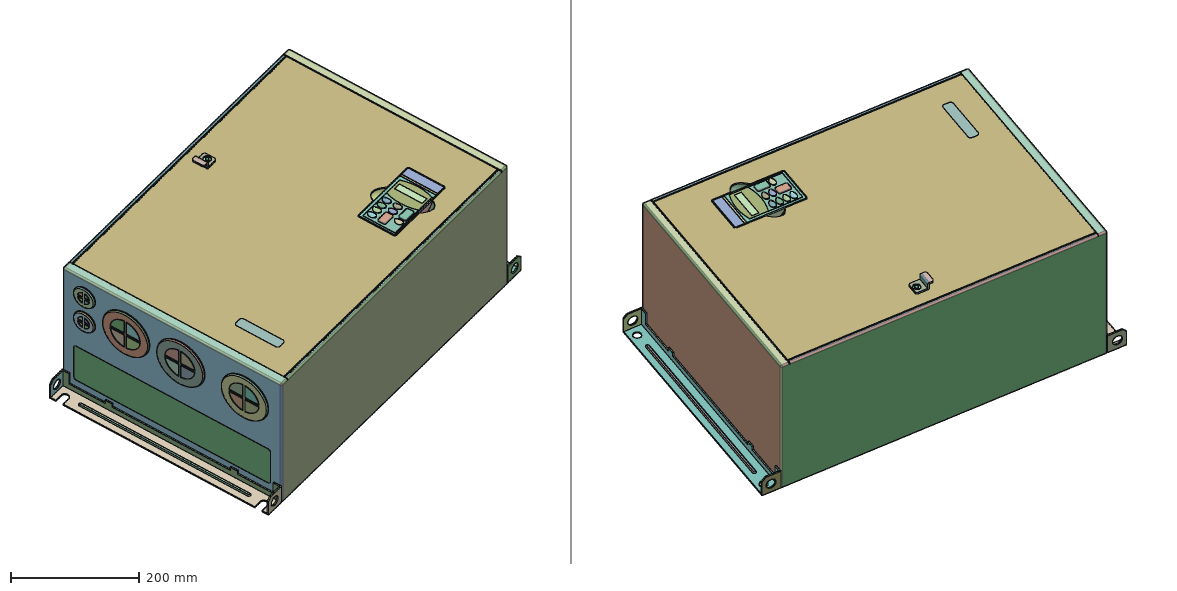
import cadquery as cq

overall_width = 424.94
overall_length = 659.89
overall_height = 278.75
half_width = overall_width / 2
half_length = overall_length / 2

housing_length = 591.0
housing_height = 264.0
housing_half_length = housing_length / 2
fold_radius = 3.0
sheet = 2.5

door_width = 409.0
door_length = 558.0
door_thickness = sheet
side_gap = 2.0
rear_gap = 1.5
front_gap = 0.5
lip_inner = door_width / 2 + side_gap

bracket_height = 36.5
bracket_post_width = 14.7
bracket_rail_height = 13.3
bracket_tab_width = 14.0
bracket_tab_height = 20.0
bracket_tab_x = 121.4
ear_chamfer = 7.0
ear_hole_diameter = 18.0
ear_hole_y = 313.5
ear_hole_z = 18.0
mount_x = 193.0
mount_y = 315.7
mount_diameter = 14.0
bead_length = 333.0
bead_width = 7.0
bead_height = 2.0
bead_slope = 1.9
bead_y = 314.7

panel_width = 381.6
panel_bottom = 27.2
panel_top = 103.5
panel_radius = 5.0
panel_depth = 0.4

grommet_height = 4.4
grommet_slope = 2.6
membrane_depth = 1.0
cross_width = 4.0
hub_radius = 3.2
large_membrane_radius = 29.0
large_z = 193.7
small_x = -169.0
small_radius = 20.5
small_membrane_radius = 11.5
grommets = [
    (-88.1, large_z, 45.0, large_membrane_radius),
    (17.9, large_z, 46.0, large_membrane_radius),
    (142.3, large_z, 45.0, large_membrane_radius),
    (small_x, 224.7, small_radius, small_membrane_radius),
    (small_x, 170.0, small_radius, small_membrane_radius),
]

keypad_x = 126.0
keypad_y = 134.1
keypad_width = 73.0
keypad_length = 132.0
keypad_radius = 3.0
keypad_edge = 1.6
step_y = 179.5
step_width = 4.0
step_depth = 1.0
face_left = 96.0
face_right = 158.5
face_bottom = 73.5
face_depth = 1.0
window_corner_y = 169.5
window_top_y = 175.0
bezel_corner_y = 135.5
bezel_bottom_y = 130.0
bezel_height = 0.5
screen_width = 53.5
screen_length = 12.6
screen_x = 127.3
screen_y = 156.5
screen_depth = 0.4

key_columns = (106.2, 127.6, 149.0)
key_first_y = 122.0
key_rows = 4
key_pitch = 12.75
key_width = 16.0
key_length = 10.6
key_top = 265.2
key_crown_radius = 8.0
long_key_width = 15.0
long_key_length = key_length + key_pitch
long_key_radius = 3.0
long_key_edge = 0.4

scoop_half_length = 51.6
scoop_half_width = 25.5
scoop_angle = 20.0
scoop_y = 137.3
keypad_thickness = scoop_half_width + sheet

hasp_x = -170.0
hasp_width = 24.0
hasp_thickness = 3.5
hasp_rear = 33.0
hasp_step = 10.4
hasp_front = 0.5
hasp_radius = 4.0
hasp_bend_radius = 3.0
lock_y = 25.0
lock_recess_diameter = 13.0
lock_recess_depth = 2.0
lock_pin_diameter = 6.0

plate_x = 118.0
plate_y = -225.5
plate_width = 85.6
plate_length = 18.5
plate_radius = 5.0
plate_depth = 0.4


def box(x0, x1, y0, y1, z0, z1):
    """Box given by its limits along each axis."""
    return cq.Workplane("XY").box(x1 - x0, y1 - y0, z1 - z0, centered=False).translate((x0, y0, z0))


def rounded_block(x, y, z, width, length, height, radius):
    """Upright block centred on (x, y), standing on z, with rounded vertical edges."""
    block = cq.Workplane("XY").box(width, length, height, centered=(True, True, False))
    return block.edges("|Z").fillet(radius).translate((x, y, z))


def rear_foot():
    """Foot at the rear end: flange, bracket on the end wall and two side ears, without holes."""
    wall = housing_half_length
    flange = box(-half_width, half_width, wall, half_length, 0, sheet)

    rail = box(-half_width, half_width, wall, wall + sheet, 0, bracket_rail_height)
    foot = flange.union(rail)
    for side in (-1, 1):
        tab = box(-bracket_tab_width / 2, bracket_tab_width / 2, wall, wall + sheet, 0, bracket_tab_height)
        foot = foot.union(tab.translate((side * bracket_tab_x, 0, 0)))

        post = box(-bracket_post_width / 2, bracket_post_width / 2, wall, wall + sheet, 0, bracket_height)
        foot = foot.union(post.translate((side * (half_width - bracket_post_width / 2), 0, 0)))

        ear = box(-sheet / 2, sheet / 2, wall, half_length, 0, bracket_height)
        ear = ear.edges(">Y and >Z").chamfer(ear_chamfer)
        foot = foot.union(ear.translate((side * (half_width - sheet / 2), 0, 0)))

    ear_holes = (
        cq.Workplane("YZ")
        .center(ear_hole_y, ear_hole_z)
        .circle(ear_hole_diameter / 2)
        .extrude(half_width + sheet, both=True)
    )
    bead = (
        cq.Workplane("XY", origin=(0, bead_y, sheet))
        .slot2D(bead_length, bead_width)
        .extrude(bead_height)
        .faces(">Z")
        .chamfer(bead_slope)
    )
    return foot.cut(ear_holes).union(bead)


def mounting_holes():
    """Round mounting holes through the rear flange."""
    points = [(-mount_x, mount_y), (mount_x, mount_y)]
    return cq.Workplane("XY").pushPoints(points).circle(mount_diameter / 2).extrude(sheet)


def mounting_slots():
    """Round-ended mounting slots, open at the edge of the front flange."""
    slots = mounting_holes().mirror("XZ")
    for side in (-1, 1):
        centre = side * mount_x
        radius = mount_diameter / 2
        slots = slots.union(box(centre - radius, centre + radius, -half_length, -mount_y, 0, sheet))
    return slots


def grommet(x, z, radius, membrane_radius):
    """Bevelled disc on the front end, its thin sunken membrane carrying a cross with a hub."""
    front = cq.Workplane("XZ", origin=(x, -housing_half_length, z))
    disc = front.circle(radius).extrude(grommet_height)
    disc = disc.faces("<Y").chamfer(grommet_slope, grommet_slope / 2)
    membrane = front.workplane(offset=grommet_height - membrane_depth)
    hollow = membrane.circle(membrane_radius).extrude(membrane_depth)
    span = 2 * membrane_radius
    cross = membrane.rect(span, cross_width).extrude(membrane_depth)
    cross = cross.union(membrane.rect(cross_width, span).extrude(membrane_depth))
    cross = cross.union(membrane.circle(hub_radius).extrude(membrane_depth))
    return disc.cut(hollow.cut(cross))


def front_panel():
    """Shallow rounded recess in the front end."""
    return (
        cq.Workplane("XZ", origin=(0, -housing_half_length, (panel_bottom + panel_top) / 2))
        .rect(panel_width, panel_top - panel_bottom)
        .extrude(-panel_depth)
        .edges("|Y")
        .fillet(panel_radius)
    )


def door_opening():
    """Recess for the door, with the slits that part the side lips from the end strips."""
    floor = housing_height - door_thickness
    rear = door_length / 2
    front = -door_length / 2
    opening = box(-lip_inner, lip_inner, front - front_gap, rear + rear_gap, floor, housing_height)
    rear_slit = box(-half_width, half_width, rear, rear + rear_gap, floor, housing_height)
    front_slit = box(-half_width, half_width, front - front_gap, front, floor, housing_height)
    return opening.union(rear_slit).union(front_slit)


def finger_scoop():
    """Spheroid bowl reaching out past both sides of the keypad."""
    bowl = (
        cq.Workplane("XY")
        .ellipseArc(scoop_half_length, scoop_half_width, 0, 180, startAtCurrent=False)
        .close()
        .revolve(360, (0, 0, 0), (1, 0, 0))
    )
    bowl = bowl.rotate((0, 0, 0), (0, 0, 1), scoop_angle)
    return bowl.translate((keypad_x, scoop_y, housing_height))


def keypad_block():
    """Plain outer shape of the keypad, which is also its pocket."""
    bottom = housing_height - keypad_thickness
    return rounded_block(
        keypad_x, keypad_y, bottom, keypad_width, keypad_length, keypad_thickness, keypad_radius
    )


def make_housing():
    body = box(
        -half_width, half_width, -housing_half_length, housing_half_length, 0, housing_height
    )
    body = body.edges("|Z or >Z").fillet(fold_radius)
    foot = rear_foot()
    body = body.union(foot).union(foot.mirror("XZ"))
    body = body.cut(mounting_holes()).cut(mounting_slots())
    body = body.cut(front_panel())
    for x, z, radius, membrane_radius in grommets:
        body = body.union(grommet(x, z, radius, membrane_radius))
    return body.cut(door_opening()).cut(finger_scoop()).cut(keypad_block())


def hasp():
    """Strip bent into a step, with a lock pin in a round recess of its base."""
    top = overall_height
    base = housing_height
    step_rear = hasp_step + hasp_thickness / 2
    step_front = hasp_step - hasp_thickness / 2
    profile = [
        (hasp_rear, base),
        (hasp_rear, base + hasp_thickness),
        (step_rear, base + hasp_thickness),
        (step_rear, top),
        (hasp_front, top),
        (hasp_front, top - hasp_thickness),
        (step_front, top - hasp_thickness),
        (step_front, base),
    ]
    strip = cq.Workplane("YZ").polyline(profile).close().extrude(hasp_width / 2, both=True)
    outer_bends = [(0, step_rear, top), (0, step_front, base)]
    for bend in outer_bends:
        strip = strip.edges(cq.NearestToPointSelector(bend)).fillet(hasp_bend_radius)
    strip = strip.edges("|Z and (<Y or >Y)").fillet(hasp_radius)
    recess = (
        cq.Workplane("XY", origin=(0, lock_y, base + hasp_thickness - lock_recess_depth))
        .circle(lock_recess_diameter / 2)
        .circle(lock_pin_diameter / 2)
        .extrude(lock_recess_depth)
    )
    return strip.cut(recess).translate((hasp_x, 0, 0))


def make_door():
    door = box(
        -door_width / 2,
        door_width / 2,
        -door_length / 2,
        door_length / 2,
        housing_height - door_thickness,
        housing_height,
    )
    plate_floor = housing_height - plate_depth
    name_plate_field = rounded_block(
        plate_x, plate_y, plate_floor, plate_width, plate_length, plate_depth, plate_radius
    )
    door = door.cut(name_plate_field).cut(finger_scoop()).cut(keypad_block())
    return door.union(hasp())


def face_outline(plane, bottom_corner_y, bottom_middle_y):
    """Keypad face with a bowed top edge; the bottom edge bows down where its middle is lower."""
    middle = (face_left + face_right) / 2
    outline = (
        plane.moveTo(face_left, bottom_corner_y)
        .lineTo(face_left, window_corner_y)
        .threePointArc((middle, window_top_y), (face_right, window_corner_y))
        .lineTo(face_right, bottom_corner_y)
    )
    if bottom_middle_y < bottom_corner_y:
        outline = outline.threePointArc((middle, bottom_middle_y), (face_left, bottom_corner_y))
    return outline.close()


def round_key(x, y, floor):
    """Oval key with a crowned top."""
    oval = cq.Workplane("XY", origin=(x, y, floor)).ellipse(key_width / 2, key_length / 2)
    crown = (
        cq.Workplane("YZ", origin=(x, y, key_top - key_crown_radius))
        .circle(key_crown_radius)
        .extrude(key_width, both=True)
    )
    return oval.extrude(key_top - floor).intersect(crown)


def long_key(x, y, floor):
    """Tall rounded key covering two rows."""
    key = rounded_block(x, y, floor, long_key_width, long_key_length, key_top - floor, long_key_radius)
    return key.faces(">Z").edges().fillet(long_key_edge)


def make_keypad():
    keypad = keypad_block().faces(">Z").chamfer(keypad_edge)
    top = housing_height
    half = keypad_width / 2 - keypad_edge
    step = box(
        keypad_x - half,
        keypad_x + half,
        step_y - step_width / 2,
        step_y + step_width / 2,
        top - step_depth,
        top,
    )
    keypad = keypad.cut(step)

    floor = top - face_depth
    plane = cq.Workplane("XY", origin=(0, 0, floor))
    keypad = keypad.cut(face_outline(plane, face_bottom, face_bottom).extrude(face_depth))
    bezel = face_outline(plane, bezel_corner_y, bezel_bottom_y).extrude(bezel_height)
    screen = (
        plane.workplane(offset=bezel_height - screen_depth)
        .center(screen_x, screen_y)
        .rect(screen_width, screen_length)
        .extrude(screen_depth)
    )
    keypad = keypad.union(bezel.cut(screen))

    rows = [key_first_y - row * key_pitch for row in range(key_rows)]
    left, middle, right = key_columns
    oval_places = [(left, y) for y in rows]
    oval_places += [(middle, y) for y in rows[:2]]
    oval_places.append((right, rows[2]))
    for x, y in oval_places:
        keypad = keypad.union(round_key(x, y, floor))
    keypad = keypad.union(long_key(middle, (rows[2] + rows[3]) / 2, floor))
    return keypad.union(long_key(right, (rows[0] + rows[1]) / 2, floor))


housing = make_housing()
door = make_door()
keypad = make_keypad()

result = cq.Compound.makeCompound([housing.val(), door.val(), keypad.val()])